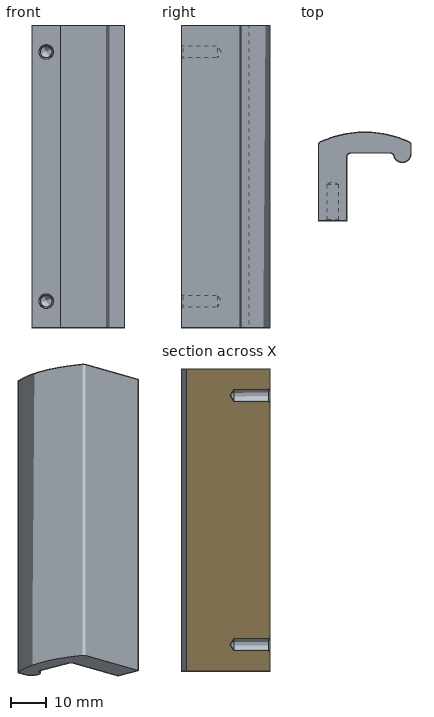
import cadquery as cq
import math

length = 85.0
width = 26.0
depth = 25.0

leg_width = 8.0
arm_thickness = 5.95
crown_drop = 3.0
outer_edge_radius = 1.0
inner_corner_radius = 1.0
bead_radius = 2.5
bead_center_drop = 0.2
bead_blend_radius = 1.0

hole_diameter = 3.2
hole_mouth_diameter = 4.1
hole_depth = 10.2
hole_end_offset = 7.5
drill_point_angle = 118.0

underside = depth - arm_thickness
shoulder = depth - crown_drop


def make_profile():
    """Outline of the hook, with the leg's outer bottom corner at the origin."""
    bead_x = width - bead_radius
    bead_y = underside - bead_center_drop
    blend_y = underside - bead_blend_radius
    center_distance = bead_radius + bead_blend_radius
    blend_x = bead_x - math.sqrt(center_distance**2 - (bead_y - blend_y) ** 2)

    bead_share = bead_radius / center_distance
    tangent = (
        bead_x + (blend_x - bead_x) * bead_share,
        bead_y + (blend_y - bead_y) * bead_share,
    )
    tangent_angle = math.asin((bead_y - blend_y) / center_distance)
    blend_middle_angle = (tangent_angle + math.pi / 2) / 2
    blend_middle = (
        blend_x + bead_blend_radius * math.cos(blend_middle_angle),
        blend_y + bead_blend_radius * math.sin(blend_middle_angle),
    )

    return (
        cq.Workplane("XY")
        .lineTo(leg_width, 0)
        .lineTo(leg_width, underside)
        .lineTo(blend_x, underside)
        .threePointArc(blend_middle, tangent)
        .threePointArc((bead_x, bead_y - bead_radius), (width, bead_y))
        .lineTo(width, shoulder)
        .threePointArc((width / 2, depth), (0, shoulder))
        .close()
    )


def make_hole(z):
    """Cutter for a drilled hole with a chamfered mouth and a conical bottom."""
    radius = hole_diameter / 2
    mouth_radius = hole_mouth_diameter / 2
    mouth_depth = mouth_radius - radius
    point_length = radius / math.tan(math.radians(drill_point_angle / 2))
    return (
        cq.Workplane("XY")
        .lineTo(mouth_radius, 0)
        .lineTo(radius, mouth_depth)
        .lineTo(radius, hole_depth)
        .lineTo(0, hole_depth + point_length)
        .close()
        .revolve(360, (0, 0, 0), (0, 1, 0))
        .translate((leg_width / 2, 0, z))
    )


body = make_profile().extrude(length)
crown_edges = cq.selectors.BoxSelector((-0.85, shoulder - 0.85, 0), (width + 0.85, shoulder + 0.85, length))
inner_edge = cq.selectors.NearestToPointSelector((leg_width, underside, length / 2))
result = body.edges("|Z").edges(crown_edges).fillet(outer_edge_radius)
result = result.edges("|Z").edges(inner_edge).fillet(inner_corner_radius)
for hole_z in (hole_end_offset, length - hole_end_offset):
    result = result.cut(make_hole(hole_z))